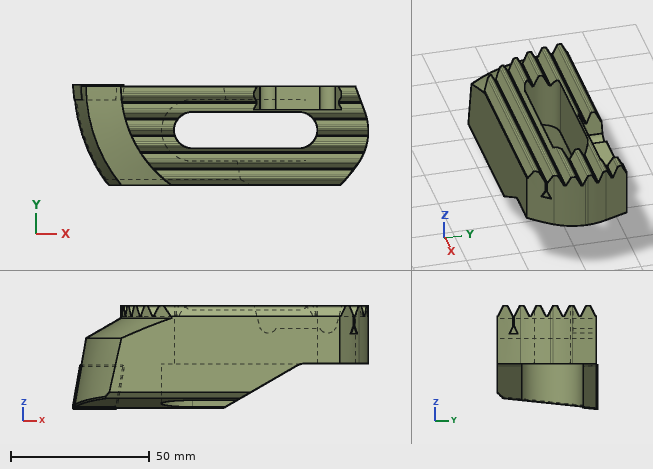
import cadquery as cq
import math


length = 107.0
pitch = 6.0
tooth_count = 6
jaw_width = tooth_count * pitch
height = 37.5

tooth_depth = 3.9
root_z = height - tooth_depth
crest_width = 1.5
root_width = 0.5
crest_radius = 0.6

nose_axis_x = 61.7
nose_axis_y = jaw_width
nose_base_radius = 61.4
nose_lean = 10.0
nose_break_z = 25.8
nose_break_radius = nose_base_radius - nose_break_z * math.tan(math.radians(nose_lean))
nose_top_radius = 44.3
nose_top_z = 33.1
nose_edge_chamfer = 0.6

base_slope = 6.0
base_back_z = 0.4
base_edge_chamfer = 2.2
foot_z = 16.6
ramp_angle = 30.0
ramp_top_x = 82.5
ramp_fillet = 6.4

heel_front_x = 96.7
heel_lower_mid = (100.5, 4.2)
heel_break = (103.6, 8.3)
heel_tip = (length, 19.2)
heel_upper = (105.5, 27.3)
heel_back_x = 102.3

slot_start_x = 43.2
slot_end_x = 82.0
slot_y = 20.0
slot_radius = 6.5
counterbore_radius = 11.1

notch_x = 81.4
notch_depth = 8.6
notch_top_width = 31.7
notch_floor_z = 29.4
notch_wall_lean = 15.0
relief_radius = 3.2
relief_z = 30.9

mark_y = pitch
mark_tip_z = 30.0
mark_base_z = 27.4
mark_base_width = 3.0
mark_depth = 0.2

insert_overhang = 0.5
insert_thickness = 5.5
insert_width = 16.0
insert_height = 16.2
insert_corner_x = -0.16
insert_corner_radius = 0.9
insert_clearance = 6.0

over = 5.3


def jaw_outline():
    """Plan of the jaw, with a curved heel and square at the nose end."""
    return (
        cq.Workplane("XY")
        .moveTo(0, 0)
        .lineTo(heel_front_x, 0)
        .threePointArc(heel_lower_mid, heel_break)
        .threePointArc(heel_tip, heel_upper)
        .lineTo(heel_back_x, jaw_width)
        .lineTo(0, jaw_width)
        .close()
        .extrude(height)
    )


def nose_solid():
    """Body of revolution that shapes the nose."""
    return (
        cq.Workplane("XZ", origin=(nose_axis_x, nose_axis_y, 0))
        .polyline([
            (0, 0),
            (nose_base_radius, 0),
            (nose_break_radius, nose_break_z),
            (nose_top_radius, nose_top_z),
            (nose_top_radius, height),
            (0, height),
        ])
        .close()
        .revolve(360, (0, 0, 0), (0, 1, 0))
    )


def nose_envelope():
    """The nose solid run on to the heel as a plain block."""
    heel_block = cq.Workplane("XY").box(
        length - nose_axis_x, jaw_width, height, centered=False
    ).translate((nose_axis_x, 0, 0))
    return nose_solid().union(heel_block)


def base_height(y):
    """Height of the sloping base at a given distance across the jaw."""
    return base_back_z + (jaw_width - y) * math.tan(math.radians(base_slope))


def base_section():
    """Section across the jaw, with the sloping base."""
    return (
        cq.Workplane("YZ")
        .polyline([
            (0, base_height(0)),
            (jaw_width, base_back_z),
            (jaw_width, height),
            (0, height),
        ])
        .close()
        .extrude(length)
    )


def base_edge_cutter():
    """Corner removed along the front edge of the base."""
    corner_z = base_height(base_edge_chamfer)
    return (
        cq.Workplane("YZ")
        .polyline([
            (-over, corner_z + base_edge_chamfer + over),
            (base_edge_chamfer + over, corner_z - over),
            (-over, corner_z - over),
        ])
        .close()
        .extrude(length)
    )


def ramp_cutter():
    """Space under the raised foot and its ramp."""
    ramp_run = (foot_z + over) / math.tan(math.radians(ramp_angle))
    return (
        cq.Workplane("XZ", origin=(0, jaw_width, 0))
        .polyline([
            (ramp_top_x - ramp_run, -over),
            (ramp_top_x, foot_z),
            (length + over, foot_z),
            (length + over, -over),
        ])
        .close()
        .extrude(jaw_width)
        .edges(cq.selectors.NearestToPointSelector((ramp_top_x, jaw_width / 2, foot_z)))
        .fillet(ramp_fillet)
    )


def groove_cutter(center_y):
    """Space between two neighbouring teeth, rounding their crests."""
    half_top = (pitch - crest_width) / 2
    half_root = root_width / 2
    flank = math.atan2(half_top - half_root, tooth_depth)
    turn = math.pi / 2 - flank
    tangent = crest_radius * math.tan(turn / 2)
    flank_y = half_top - tangent * math.sin(flank)
    flank_z = height - tangent * math.cos(flank)
    crest_y = half_top + tangent
    arc_y = crest_y - crest_radius * math.sin(turn / 2)
    arc_z = height - crest_radius * (1 - math.cos(turn / 2))
    return (
        cq.Workplane("YZ", origin=(0, center_y, 0))
        .moveTo(-half_root, root_z)
        .lineTo(half_root, root_z)
        .lineTo(flank_y, flank_z)
        .threePointArc((arc_y, arc_z), (crest_y, height))
        .lineTo(-crest_y, height)
        .threePointArc((-arc_y, arc_z), (-flank_y, flank_z))
        .close()
        .extrude(length)
    )


def slot_cutter(radius, bottom_z, top_z):
    """Upright slot along X."""
    spacing = slot_end_x - slot_start_x
    return (
        cq.Workplane("XY", origin=((slot_start_x + slot_end_x) / 2, slot_y, bottom_z))
        .slot2D(spacing + 2 * radius, 2 * radius)
        .extrude(top_z - bottom_z)
    )


def notch_cutter():
    """Trapezoidal notch through the back teeth, with a round relief in each floor corner."""
    lean = math.radians(notch_wall_lean)
    half_top = notch_top_width / 2
    half_floor = half_top - (height - notch_floor_z) * math.tan(lean)
    relief_x = half_top - (height - relief_z) * math.tan(lean) - relief_radius / math.cos(lean)
    plane = cq.Workplane("XZ", origin=(notch_x, jaw_width, 0))
    notch = (
        plane.polyline([
            (-half_floor, notch_floor_z),
            (half_floor, notch_floor_z),
            (half_top, height),
            (-half_top, height),
        ])
        .close()
        .extrude(notch_depth)
    )
    reliefs = (
        plane.pushPoints([(-relief_x, relief_z), (relief_x, relief_z)])
        .circle(relief_radius)
        .extrude(notch_depth)
    )
    return notch.union(reliefs)


def engrave_mark(body):
    """Arrow-shaped setting mark sunk into the heel under the first groove."""
    half_line = root_width / 2
    arrow = (
        cq.Workplane("YZ", origin=(heel_front_x, mark_y, 0))
        .polyline([
            (-half_line, root_z),
            (-half_line, mark_tip_z),
            (-mark_base_width / 2, mark_base_z),
            (mark_base_width / 2, mark_base_z),
            (half_line, mark_tip_z),
            (half_line, root_z),
        ])
        .close()
        .extrude(length - heel_front_x)
    )
    return body.cut(arrow.cut(body.translate((-mark_depth, 0, 0))))


def make_insert():
    """Leaning square insert with rounded corners, narrowing away from the back face."""
    lean = insert_height * math.tan(math.radians(nose_lean))
    return (
        cq.Workplane("XZ", origin=(insert_corner_x, jaw_width + insert_overhang, 0))
        .sketch()
        .polygon([
            (0, 0),
            (insert_width, 0),
            (insert_width + lean, insert_height),
            (lean, insert_height),
            (0, 0),
        ])
        .vertices()
        .fillet(insert_corner_radius)
        .finalize()
        .extrude(insert_thickness, taper=insert_clearance)
    )


def make_jaw(insert):
    """Jaw body with its serrations, slot, notch and insert pocket."""
    jaw = jaw_outline().intersect(base_section()).intersect(nose_envelope())
    lower_nose_edge = cq.selectors.NearestToPointSelector((0, jaw_width / 2, base_height(jaw_width / 2)))
    jaw = jaw.edges(lower_nose_edge).chamfer(nose_edge_chamfer)
    jaw = jaw.cut(base_edge_cutter())
    jaw = jaw.cut(ramp_cutter())
    for groove in range(tooth_count + 1):
        jaw = jaw.cut(groove_cutter(groove * pitch))
    jaw = jaw.cut(slot_cutter(slot_radius, 0, height))
    jaw = jaw.cut(slot_cutter(counterbore_radius, 0, foot_z))
    jaw = jaw.cut(notch_cutter())
    jaw = engrave_mark(jaw)
    return jaw.cut(insert)


insert = make_insert()
jaw = make_jaw(insert)

result = cq.Compound.makeCompound([jaw.val(), insert.val()])